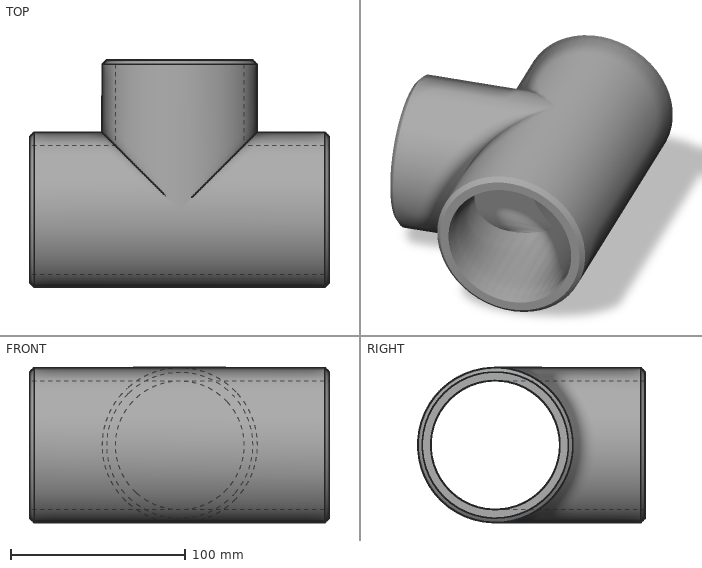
import cadquery as cq

run_length = 171.7
outer_diameter = 89.0
bore_diameter = 73.8
chamfer_size = 2.5
branch_reach = run_length / 2


def cylinder_along_run(diameter):
    return cq.Workplane("YZ").circle(diameter / 2).extrude(run_length / 2, both=True)


def cylinder_along_branch(diameter):
    return cq.Workplane("XZ").circle(diameter / 2).extrude(-branch_reach)


run = cylinder_along_run(outer_diameter).faces("<X or >X").edges().chamfer(chamfer_size)
branch = cylinder_along_branch(outer_diameter).faces(">Y").edges().chamfer(chamfer_size)

bores = cylinder_along_run(bore_diameter).union(cylinder_along_branch(bore_diameter))

result = run.union(branch).cut(bores)